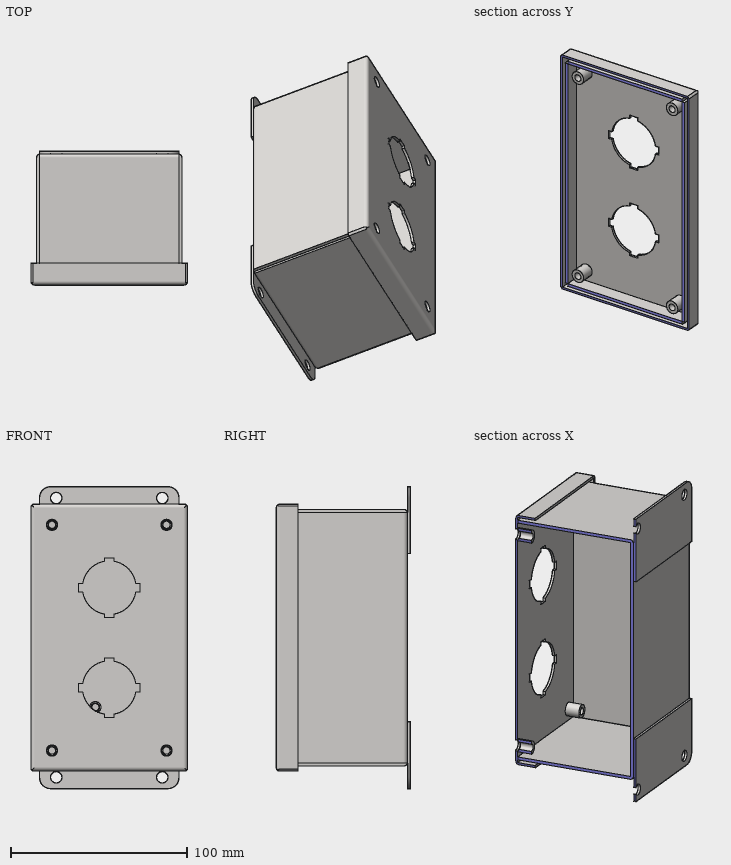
import cadquery as cq

OVERALL_HEIGHT = 171.5
OVERALL_DEPTH = 76.1
SHEET = 1.5
BEND_RADIUS = 2.2

COVER_WIDTH = 89.0
COVER_HEIGHT = 151.5
COVER_DEPTH = 12.5
COVER_CORNER_CHAMFER = 1.2

BOX_WIDTH = 82.6
BOX_HEIGHT = 145.7
BOX_WALL = 2.0
CORNER_NOTCH = 1.7

FOOT_WIDTH = 79.2
FOOT_LENGTH = 38.0
FOOT_CORNER_RADIUS = 6.3
FOOT_HOLE_DIAMETER = 6.3
FOOT_HOLE_SPACING = 60.2
FOOT_HOLE_EDGE_DISTANCE = 6.5

BUTTON_HOLE_DIAMETER = 30.5
BUTTON_SPACING = 56.7
SIDE_KEY_SPAN = 34.6
SIDE_KEY_WIDTH = 5.0
END_KEY_SPAN = 34.0
END_KEY_WIDTH = 5.5

INSERT_SPACING_X = 65.0
INSERT_SPACING_Z = 128.0
COVER_HOLE_DIAMETER = 6.3
INSERT_DIAMETER = 7.9
INSERT_LENGTH = 8.5
INSERT_LEAD_IN = 0.7
THREAD_BORE = 4.1

STANDOFF_DIAMETER = 6.3
STANDOFF_LENGTH = 6.9
STANDOFF_LEAD_IN = 0.3
STANDOFF_X = -7.9
STANDOFF_Z = -39.5

COVER_FRONT = -(OVERALL_DEPTH - SHEET)
COVER_REAR = COVER_FRONT + COVER_DEPTH
COVER_INSIDE = COVER_FRONT + SHEET
FOOT_HOLE_Z = OVERALL_HEIGHT / 2 - FOOT_HOLE_EDGE_DISTANCE


def block(width, height, front, back):
    """Box centred on X and Z that runs from Y = front to Y = back."""
    return cq.Workplane("XY").box(width, back - front, height).translate((0, (front + back) / 2, 0))


def rod(diameter, front, back, x, z):
    """Cylinder along Y centred at (x, z)."""
    return cq.Workplane("XZ", origin=(x, front, z)).circle(diameter / 2).extrude(front - back)


def threaded_tube(outer, front, length, lead_in, x, z):
    """Tube along Y with the thread bore, chamfered at the front mouth of the bore."""
    back = front + length
    tube = rod(outer, front, back, x, z).cut(rod(THREAD_BORE, front, back, x, z))
    bore_mouth = cq.selectors.RadiusNthSelector(0)
    return tube.faces("<Y").edges(bore_mouth).chamfer(lead_in)


def grid(spacing_x, spacing_z):
    """The (x, z) corners of a centred rectangle."""
    return [(sx * spacing_x / 2, sz * spacing_z / 2) for sx in (-1, 1) for sz in (-1, 1)]


def make_box():
    shell = block(BOX_WIDTH, BOX_HEIGHT, COVER_INSIDE, 0).faces(">Y").edges().fillet(BEND_RADIUS)
    cavity = block(BOX_WIDTH - 2 * BOX_WALL, BOX_HEIGHT - 2 * BOX_WALL, COVER_INSIDE, -BOX_WALL)
    body = shell.cut(cavity)
    notch = block(2 * CORNER_NOTCH, 2 * CORNER_NOTCH, COVER_INSIDE, 0)
    for x, z in grid(BOX_WIDTH, BOX_HEIGHT):
        body = body.cut(notch.translate((x, 0, z)))
    return body


def button_hole(z):
    keyed = rod(BUTTON_HOLE_DIAMETER, COVER_FRONT, COVER_INSIDE, 0, 0)
    keyed = keyed.union(block(SIDE_KEY_SPAN, SIDE_KEY_WIDTH, COVER_FRONT, COVER_INSIDE))
    keyed = keyed.union(block(END_KEY_WIDTH, END_KEY_SPAN, COVER_FRONT, COVER_INSIDE))
    return keyed.translate((0, 0, z))


def make_cover():
    blank = block(COVER_WIDTH, COVER_HEIGHT, COVER_FRONT, COVER_REAR)
    bent = blank.faces("<Y").edges().fillet(BEND_RADIUS)
    chamfered = blank.edges("|Y").chamfer(COVER_CORNER_CHAMFER)
    cavity = block(COVER_WIDTH - 2 * SHEET, COVER_HEIGHT - 2 * SHEET, COVER_INSIDE, COVER_REAR)
    pan = bent.intersect(chamfered).cut(cavity)
    for z in (-BUTTON_SPACING / 2, BUTTON_SPACING / 2):
        pan = pan.cut(button_hole(z))
    for x, z in grid(INSERT_SPACING_X, INSERT_SPACING_Z):
        pan = pan.cut(rod(COVER_HOLE_DIAMETER, COVER_FRONT, COVER_INSIDE, x, z))
    return pan


def make_foot(side):
    """Foot at the top (side = 1) or the bottom (side = -1)."""
    centre_z = side * (OVERALL_HEIGHT - FOOT_LENGTH) / 2
    foot = block(FOOT_WIDTH, FOOT_LENGTH, 0, SHEET).translate((0, 0, centre_z))
    outer_end = ">Z" if side > 0 else "<Z"
    foot = foot.faces(outer_end).edges("|Y").fillet(FOOT_CORNER_RADIUS)
    for x in (-FOOT_HOLE_SPACING / 2, FOOT_HOLE_SPACING / 2):
        foot = foot.cut(rod(FOOT_HOLE_DIAMETER, 0, SHEET, x, side * FOOT_HOLE_Z))
    return foot


def make_insert(x, z):
    return threaded_tube(INSERT_DIAMETER, COVER_INSIDE, INSERT_LENGTH, INSERT_LEAD_IN, x, z)


def make_standoff():
    front = -BOX_WALL - STANDOFF_LENGTH
    return threaded_tube(
        STANDOFF_DIAMETER, front, STANDOFF_LENGTH, STANDOFF_LEAD_IN, STANDOFF_X, STANDOFF_Z
    )


box = make_box()
cover = make_cover()
feet = [make_foot(side) for side in (-1, 1)]
inserts = [make_insert(x, z) for x, z in grid(INSERT_SPACING_X, INSERT_SPACING_Z)]
standoff = make_standoff()

result = cq.Compound.makeCompound([
    box.val(),
    cover.val(),
    *[foot.val() for foot in feet],
    *[insert.val() for insert in inserts],
    standoff.val(),
])